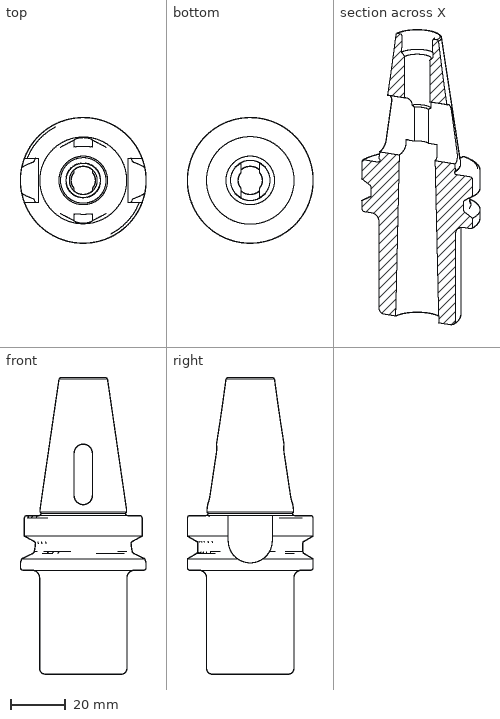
import cadquery as cq
import math


TAPER_LENGTH = 48.4
NOSE_LENGTH = 60.0
GAUGE_RADIUS = 15.875
TAPER_SLOPE = 7 / 24 / 2
TAPER_END_RADIUS = GAUGE_RADIUS - TAPER_LENGTH * TAPER_SLOPE
TAPER_END_CHAMFER = 0.5
BODY_RADIUS = 16.0
BODY_TOP_FILLET = 2.8
BODY_END_FILLET = 2.2

NECK_LAND_Z = -0.65
NECK_RELIEF_DEPTH = 0.4
NECK_FILLET = 0.7

FLANGE_RADIUS = 23.0
FLANGE_TOP_Z = -2.0
FLANGE_BOTTOM_Z = -22.0
FLANGE_EDGE_FILLET = 1.0
GROOVE_RADIUS = 19.25
GROOVE_ROOT_FILLET = 0.8
GROOVE_CENTRE_Z = -13.68
GROOVE_MOUTH_WIDTH = 8.25
GROOVE_FLANK_ANGLE = math.radians(30)
GROOVE_FLANK_HEIGHT = (FLANGE_RADIUS - GROOVE_RADIUS) * math.tan(GROOVE_FLANK_ANGLE)

KEYWAY_WIDTH = 16.1
KEYWAY_FLOOR_X = 16.3
KEYWAY_BOTTOM_Z = -19.3

SLOT_WIDTH = 6.6
SLOT_BOTTOM_Z = 2.0
SLOT_LENGTH = 22.0
SLOT_TOP_Z = SLOT_BOTTOM_Z + SLOT_LENGTH

PILOT_RADIUS = 6.25
PILOT_DEPTH = 5.0
PILOT_MOUTH_FILLET = 0.75
RELIEF_RADIUS = 6.5
RELIEF_START_DEPTH = 6.0
RELIEF_END_DEPTH = 7.0
THREAD_RADIUS = 5.1
THREAD_END_Z = SLOT_TOP_Z - SLOT_WIDTH / 2
PASSAGE_RADIUS = 4.4

SOCKET_MOUTH_RADIUS = 17.78 / 2
SOCKET_DEPTH = 67.0
SOCKET_SLOPE = 1 / 20.02 / 2
SOCKET_END_RADIUS = SOCKET_MOUTH_RADIUS - SOCKET_DEPTH * SOCKET_SLOPE


def arc_point(centre_r, centre_z, radius, direction_deg):
    """Point on a profile arc, in the given direction from its centre."""
    direction = math.radians(direction_deg)
    return (centre_r + radius * math.cos(direction), centre_z + radius * math.sin(direction))


def make_body():
    """Taper, neck, flange and cylindrical nose, turned as one solid."""
    chamfer_z = TAPER_LENGTH - TAPER_END_CHAMFER
    neck_r = GAUGE_RADIUS - NECK_RELIEF_DEPTH
    neck_fillet_z = FLANGE_TOP_Z + NECK_FILLET
    edge_r = FLANGE_RADIUS - FLANGE_EDGE_FILLET
    top_edge_z = FLANGE_TOP_Z - FLANGE_EDGE_FILLET
    bottom_edge_z = FLANGE_BOTTOM_Z + FLANGE_EDGE_FILLET
    groove_top_z = GROOVE_CENTRE_Z + GROOVE_MOUTH_WIDTH / 2
    groove_bottom_z = GROOVE_CENTRE_Z - GROOVE_MOUTH_WIDTH / 2
    root_tangent = GROOVE_ROOT_FILLET * math.tan((math.pi / 2 - GROOVE_FLANK_ANGLE) / 2)
    root_half_width = GROOVE_MOUTH_WIDTH / 2 - GROOVE_FLANK_HEIGHT - root_tangent
    root_top_z = GROOVE_CENTRE_Z + root_half_width
    root_bottom_z = GROOVE_CENTRE_Z - root_half_width
    root_centre_r = GROOVE_RADIUS + GROOVE_ROOT_FILLET
    flank_end_r = GROOVE_RADIUS + root_tangent * math.cos(GROOVE_FLANK_ANGLE)
    flank_run = root_tangent * (1 + math.sin(GROOVE_FLANK_ANGLE))
    flank_top_z = root_top_z + flank_run
    flank_bottom_z = root_bottom_z - flank_run
    shoulder_r = BODY_RADIUS + BODY_TOP_FILLET
    shoulder_z = FLANGE_BOTTOM_Z - BODY_TOP_FILLET
    end_r = BODY_RADIUS - BODY_END_FILLET
    end_z = -NOSE_LENGTH + BODY_END_FILLET

    profile = (
        cq.Workplane("XZ")
        .moveTo(0, TAPER_LENGTH)
        .lineTo(TAPER_END_RADIUS - TAPER_END_CHAMFER, TAPER_LENGTH)
        .lineTo(TAPER_END_RADIUS + TAPER_END_CHAMFER * TAPER_SLOPE, chamfer_z)
        .lineTo(GAUGE_RADIUS, 0)
        .lineTo(GAUGE_RADIUS, NECK_LAND_Z)
        .lineTo(neck_r, neck_fillet_z)
        .threePointArc(
            arc_point(neck_r + NECK_FILLET, neck_fillet_z, NECK_FILLET, 225),
            (neck_r + NECK_FILLET, FLANGE_TOP_Z),
        )
        .lineTo(edge_r, FLANGE_TOP_Z)
        .threePointArc(
            arc_point(edge_r, top_edge_z, FLANGE_EDGE_FILLET, 45),
            (FLANGE_RADIUS, top_edge_z),
        )
        .lineTo(FLANGE_RADIUS, groove_top_z)
        .lineTo(flank_end_r, flank_top_z)
        .threePointArc(
            arc_point(root_centre_r, root_top_z, GROOVE_ROOT_FILLET, 150),
            (GROOVE_RADIUS, root_top_z),
        )
        .lineTo(GROOVE_RADIUS, root_bottom_z)
        .threePointArc(
            arc_point(root_centre_r, root_bottom_z, GROOVE_ROOT_FILLET, 210),
            (flank_end_r, flank_bottom_z),
        )
        .lineTo(FLANGE_RADIUS, groove_bottom_z)
        .lineTo(FLANGE_RADIUS, bottom_edge_z)
        .threePointArc(
            arc_point(edge_r, bottom_edge_z, FLANGE_EDGE_FILLET, -45),
            (edge_r, FLANGE_BOTTOM_Z),
        )
        .lineTo(shoulder_r, FLANGE_BOTTOM_Z)
        .threePointArc(
            arc_point(shoulder_r, shoulder_z, BODY_TOP_FILLET, 135),
            (BODY_RADIUS, shoulder_z),
        )
        .lineTo(BODY_RADIUS, end_z)
        .threePointArc(
            arc_point(end_r, end_z, BODY_END_FILLET, -45),
            (end_r, -NOSE_LENGTH),
        )
        .lineTo(0, -NOSE_LENGTH)
        .close()
    )
    return profile.revolve(360, (0, 0, 0), (0, 1, 0))


def make_bore():
    """Drawbar hole, passage and Morse socket along the axis, as one cutter."""
    mouth_r = PILOT_RADIUS + PILOT_MOUTH_FILLET
    mouth_end_z = TAPER_LENGTH - PILOT_MOUTH_FILLET
    relief_end_z = TAPER_LENGTH - RELIEF_END_DEPTH
    thread_start_z = relief_end_z - (RELIEF_RADIUS - THREAD_RADIUS)
    passage_start_z = THREAD_END_Z - (THREAD_RADIUS - PASSAGE_RADIUS)
    socket_end_z = -NOSE_LENGTH + SOCKET_DEPTH
    profile = (
        cq.Workplane("XZ")
        .moveTo(0, TAPER_LENGTH)
        .lineTo(mouth_r, TAPER_LENGTH)
        .threePointArc(
            arc_point(mouth_r, mouth_end_z, PILOT_MOUTH_FILLET, 135),
            (PILOT_RADIUS, mouth_end_z),
        )
        .lineTo(PILOT_RADIUS, TAPER_LENGTH - PILOT_DEPTH)
        .lineTo(RELIEF_RADIUS, TAPER_LENGTH - RELIEF_START_DEPTH)
        .lineTo(RELIEF_RADIUS, relief_end_z)
        .lineTo(THREAD_RADIUS, thread_start_z)
        .lineTo(THREAD_RADIUS, THREAD_END_Z)
        .lineTo(PASSAGE_RADIUS, passage_start_z)
        .lineTo(PASSAGE_RADIUS, socket_end_z)
        .lineTo(SOCKET_END_RADIUS, socket_end_z)
        .lineTo(SOCKET_MOUTH_RADIUS, -NOSE_LENGTH)
        .lineTo(0, -NOSE_LENGTH)
        .close()
    )
    return profile.revolve(360, (0, 0, 0), (0, 1, 0))


def make_tang_slot():
    """Round-ended slot passing right through the taper along Y."""
    return (
        cq.Workplane("XZ")
        .center(0, (SLOT_BOTTOM_Z + SLOT_TOP_Z) / 2)
        .slot2D(SLOT_LENGTH, SLOT_WIDTH, 90)
        .extrude(2 * GAUGE_RADIUS, both=True)
    )


def make_keyway(side):
    """Round-bottomed keyway cutter, open at the flange top; side is +1 or -1 along X."""
    half_width = KEYWAY_WIDTH / 2
    arc_centre_z = KEYWAY_BOTTOM_Z + half_width
    return (
        cq.Workplane("YZ", origin=(side * KEYWAY_FLOOR_X, 0, 0))
        .moveTo(-half_width, 0)
        .lineTo(-half_width, arc_centre_z)
        .threePointArc((0, KEYWAY_BOTTOM_Z), (half_width, arc_centre_z))
        .lineTo(half_width, 0)
        .close()
        .extrude(side * FLANGE_RADIUS)
    )


result = make_body().cut(make_bore()).cut(make_tang_slot())
for side in (-1, 1):
    result = result.cut(make_keyway(side))